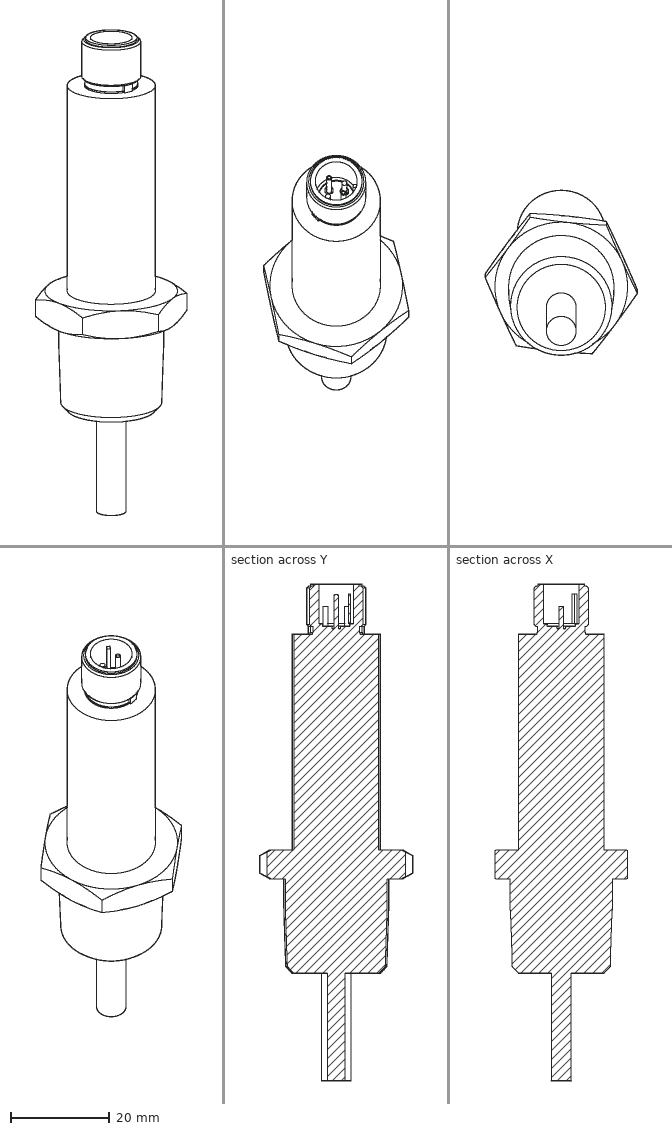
import cadquery as cq
import math

total_length = 101.0
base_z = 21.8
taper_end_z = 23.2
taper_start_z = 35.6
hex_bottom_z = 41.0
hex_top_z = 47.0
body_top_z = 90.8
connector_bottom_z = 92.3

probe_radius = 3.0
base_radius = 9.0
taper_end_radius = 10.3
collar_radius = 10.7
body_radius = 9.0
neck_radius = 5.4
neck_ring_radius = 5.5
neck_ring_height = 0.3
connector_diameter = 12.0
connector_radius = connector_diameter / 2
rim_radius = 5.3
rim_height = 0.4
thread_chamfer = 0.4

hex_across_flats = 27.0
hex_across_corners = hex_across_flats / math.cos(math.radians(30))
hex_chamfer_angle = 30.0

lug_span = 11.4
lug_width = 2.0

bore_radius = 4.2
bore_depth = 8.1
recess_radius = 3.6
recess_depth = 0.5
key_width = 0.7
key_tip_radius = 3.4
key_angle = -45.0
key_top_gap = 2.0
pin_circle_radius = 2.2
pin_radius = 0.5
pin_tip_chamfer = 0.2
pin_clearance_radius = 0.86
pin_clearance_depth = 0.5
long_pin_gap = 2.1
short_pin_gap = 4.5

bore_floor_z = total_length - bore_depth
recess_floor_z = bore_floor_z - recess_depth
pin_root_z = recess_floor_z - pin_clearance_depth


def cylinder(radius, bottom_z, top_z, x=0.0, y=0.0):
    return cq.Workplane("XY", origin=(x, y, bottom_z)).circle(radius).extrude(top_z - bottom_z)


def turned_profile():
    """Probe, tapered thread, collar, body, neck and connector in one revolve."""
    chamfer_radius = connector_radius - thread_chamfer
    ledge_z = total_length - rim_height
    neck_ring_top_z = body_top_z + neck_ring_height
    points = [
        (0, 0),
        (probe_radius, 0),
        (probe_radius, base_z),
        (base_radius, base_z),
        (taper_end_radius, taper_end_z),
        (collar_radius, taper_start_z),
        (collar_radius, hex_bottom_z),
        (body_radius, hex_bottom_z),
        (body_radius, body_top_z),
        (neck_ring_radius, body_top_z),
        (neck_ring_radius, neck_ring_top_z),
        (neck_radius, neck_ring_top_z),
        (neck_radius, connector_bottom_z),
        (chamfer_radius, connector_bottom_z),
        (connector_radius, connector_bottom_z + thread_chamfer),
        (connector_radius, ledge_z - thread_chamfer),
        (chamfer_radius, ledge_z),
        (rim_radius, ledge_z),
        (rim_radius, total_length),
        (0, total_length),
    ]
    return cq.Workplane("XZ").polyline(points).close().revolve(360, (0, 0, 0), (0, 1, 0))


def hexagon():
    """Hexagon with both faces chamfered down to the inscribed circle."""
    flat_radius = hex_across_flats / 2
    corner_radius = hex_across_corners / 2
    corner_drop = (corner_radius - flat_radius) * math.tan(math.radians(hex_chamfer_angle))
    prism = (
        cq.Workplane("XY", origin=(0, 0, hex_bottom_z))
        .polygon(6, hex_across_corners)
        .extrude(hex_top_z - hex_bottom_z)
    )
    envelope = (
        cq.Workplane("XZ")
        .moveTo(0, hex_bottom_z)
        .lineTo(flat_radius, hex_bottom_z)
        .lineTo(corner_radius, hex_bottom_z + corner_drop)
        .lineTo(corner_radius, hex_top_z - corner_drop)
        .lineTo(flat_radius, hex_top_z)
        .lineTo(0, hex_top_z)
        .close()
        .revolve(360, (0, 0, 0), (0, 1, 0))
    )
    return prism.intersect(envelope)


def lugs():
    """Bar through the neck that leaves one small lug on each X side."""
    lug_height = connector_bottom_z - body_top_z
    return cq.Workplane("XY", origin=(0, 0, body_top_z)).rect(lug_span, lug_width).extrude(lug_height)


def socket():
    """Bore of the connector with a shallow recess in its floor."""
    bore = cylinder(bore_radius, bore_floor_z, total_length)
    recess = cylinder(recess_radius, recess_floor_z, bore_floor_z)
    return bore.union(recess)


def alignment_key():
    """Key on the bore wall, midway between the +X and -Y pins, rooted in the wall."""
    key_root_radius = (bore_radius + connector_radius) / 2
    key_length = key_root_radius - key_tip_radius
    key = (
        cq.Workplane("XY", origin=(0, 0, bore_floor_z))
        .center(key_tip_radius + key_length / 2, 0)
        .rect(key_length, key_width)
        .extrude(bore_depth - key_top_gap)
    )
    return key.rotate((0, 0, 0), (0, 0, 1), key_angle)


def contact_pin(x, y, tip_z):
    return cylinder(pin_radius, pin_root_z, tip_z, x, y)


result = turned_profile().union(hexagon()).union(lugs()).cut(socket()).union(alignment_key())

for side in (-1, 1):
    offset = side * pin_circle_radius
    for x, y in ((offset, 0), (0, offset)):
        result = result.cut(cylinder(pin_clearance_radius, pin_root_z, recess_floor_z, x, y))
    short_pin = contact_pin(offset, 0, total_length - short_pin_gap)
    long_pin = contact_pin(0, offset, total_length - long_pin_gap).faces(">Z").chamfer(pin_tip_chamfer)
    result = result.union(short_pin).union(long_pin)